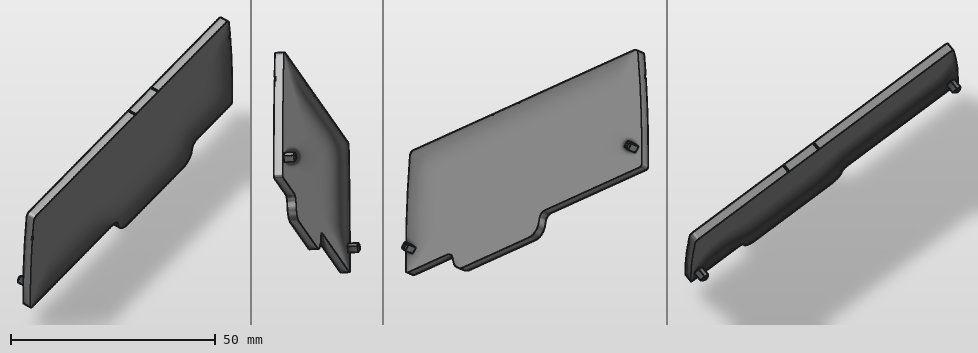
import cadquery as cq
import math

length = 82.6
thickness = 2.2
plate_height = 32.6
tab_drop = 5.45
top_half_width = 39.8
straight_side_height = 4.4
top_corner_radius = 1.3
bottom_corner_radius = 0.75

tab_center_y = 9.75
tab_foot_width = 28.75
tab_wall_slope = math.radians(12)
tab_corner_radius = 3.6
tab_root_radius = 2.0

peg_length = 2.9
peg_side = 1.7
peg_tip_chamfer = 0.4
peg_half_spacing = 39.0
peg_height = 5.7

top_groove_positions = (1.7, 11.0)
top_groove_width = 0.4
top_groove_depth = 0.25

notch_height = 1.0
notch_depth = 0.25
notch_inner_half_width = 40.15
notch_center_z = 25.5


def make_plate():
    """Plate with slightly bowed sides that draw in toward the top."""
    half = length / 2
    bow_height = plate_height - straight_side_height
    bow_inset = half - top_half_width
    bow_radius = (bow_height**2 + bow_inset**2) / (2 * bow_inset)
    bow_half_angle = math.asin(bow_height / bow_radius) / 2
    bow_mid_y = half - bow_radius * (1 - math.cos(bow_half_angle))
    bow_mid_z = straight_side_height + bow_radius * math.sin(bow_half_angle)
    plate = (
        cq.Workplane("YZ")
        .moveTo(-half, 0)
        .lineTo(half, 0)
        .lineTo(half, straight_side_height)
        .threePointArc((bow_mid_y, bow_mid_z), (top_half_width, plate_height))
        .lineTo(-top_half_width, plate_height)
        .threePointArc((-bow_mid_y, bow_mid_z), (-half, straight_side_height))
        .close()
        .extrude(thickness)
    )
    plate = plate.edges("|X and >Z").fillet(top_corner_radius)
    return plate.edges("|X and <Z").fillet(bottom_corner_radius)


def make_tab():
    """Tab with sloped sides, rounded lower corners and concave roots against the plate."""
    half_top = tab_foot_width / 2 + tab_drop * math.tan(tab_wall_slope)
    half_foot = tab_foot_width / 2
    body = (
        cq.Workplane("YZ", origin=(0, tab_center_y, 0))
        .moveTo(-half_foot, -tab_drop)
        .lineTo(half_foot, -tab_drop)
        .lineTo(half_top, 0)
        .lineTo(-half_top, 0)
        .close()
        .extrude(thickness)
    )
    return body.edges("|X and <Z").fillet(tab_corner_radius)


def round_tab_roots(body):
    """Fillet the two concave edges where the tab meets the plate."""
    half_top = tab_foot_width / 2 + tab_drop * math.tan(tab_wall_slope)
    for root_side in (-1, 1):
        root = (thickness / 2, tab_center_y + root_side * half_top, 0)
        body = body.edges(cq.selectors.NearestToPointSelector(root)).fillet(tab_root_radius)
    return body


def make_peg(y):
    """Peg on the -X face turned on one corner, with a beveled tip."""
    return (
        cq.Workplane("XY")
        .box(peg_length, peg_side, peg_side, centered=(False, True, True))
        .faces("<X")
        .chamfer(peg_tip_chamfer)
        .rotate((0, 0, 0), (1, 0, 0), 45)
        .translate((-peg_length, y, peg_height))
    )


def make_top_groove(y):
    """V-shaped cutter across the top edge."""
    half = top_groove_width / 2
    return (
        cq.Workplane("YZ")
        .moveTo(y - half, plate_height)
        .lineTo(y + half, plate_height)
        .lineTo(y, plate_height - top_groove_depth)
        .close()
        .extrude(thickness)
    )


def make_end_notch(side):
    """Cutter for the corner between the +X face and one bowed side."""
    span = length / 2 - notch_inner_half_width
    center_y = side * (notch_inner_half_width + span / 2)
    return (
        cq.Workplane("XY")
        .box(notch_depth, span, notch_height, centered=(False, True, True))
        .translate((thickness - notch_depth, center_y, notch_center_z))
    )


result = round_tab_roots(make_plate().union(make_tab()))
for side in (-1, 1):
    result = result.union(make_peg(side * peg_half_spacing))
    result = result.cut(make_end_notch(side))
for groove_y in top_groove_positions:
    result = result.cut(make_top_groove(groove_y))